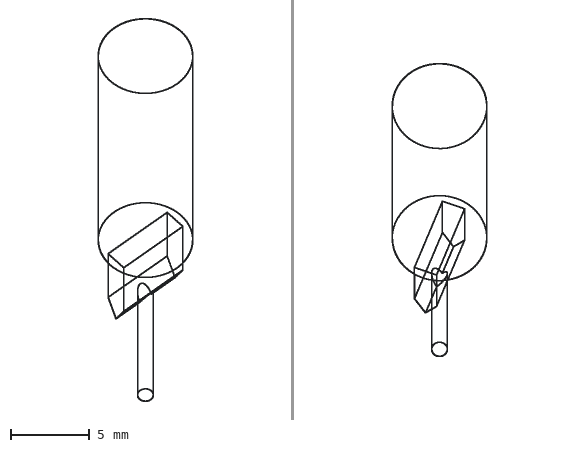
import cadquery as cq

shank_diameter = 6.0
shank_length = 19.0

blade_thickness = 1.5
blade_width = 5.0
blade_length = 6.0
edge_height = 1.5

pin_diameter = 1.0
pin_reach = 10.0

edge_z = pin_reach
shoulder_z = edge_z + edge_height
shank_z = edge_z + blade_length


def make_shank():
    return cq.Workplane("XY", origin=(0, 0, shank_z)).circle(shank_diameter / 2).extrude(shank_length)


def make_blade():
    half_thickness = blade_thickness / 2
    outline = [
        (-half_thickness, shank_z),
        (-half_thickness, shoulder_z),
        (0, edge_z),
        (half_thickness, shoulder_z),
        (half_thickness, shank_z),
    ]
    return cq.Workplane("XZ").polyline(outline).close().extrude(blade_width / 2, both=True)


def make_pin():
    return cq.Workplane("XY").circle(pin_diameter / 2).extrude(shank_z)


result = make_shank().union(make_blade()).union(make_pin())